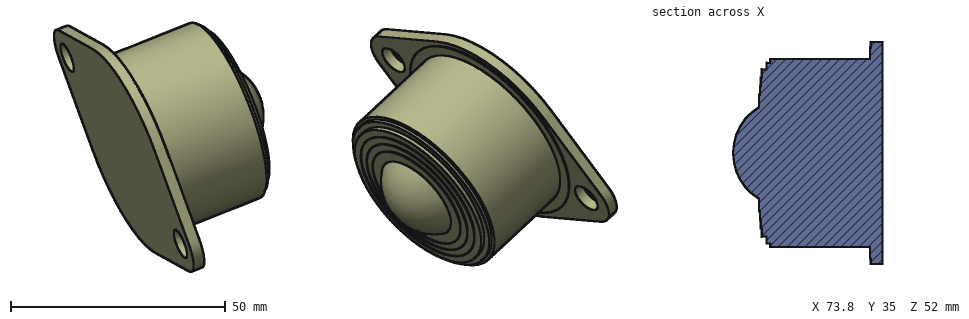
import cadquery as cq
import math

flange_length = 73.8
flange_width = 52.0
flange_thickness = 2.8
hole_diameter = 7.0
hole_spacing = 59.8

seat_diameter = 49.3
seat_height = 0.2

housing_diameter = 44.0
housing_top = 26.3
rim_diameter = 42.3
rim_top = 27.2

cover_diameter = 39.2
cover_first_top = 28.3
cover_step_width = 2.0
cover_step_height = 0.2
cover_step_count = 4

overall_height = 35.0
ball_diameter = 24.95


def disc(diameter, bottom, top):
    """Round disc on the Y axis, spanning bottom to top along Y."""
    plane = cq.Plane(origin=(0, bottom, 0), xDir=(1, 0, 0), normal=(0, 1, 0))
    return cq.Workplane(plane).circle(diameter / 2).extrude(top - bottom)


def make_flange():
    """Rhombic flange: a large central arc joined by tangent lines to two ears."""
    main_radius = flange_width / 2
    ear_center = hole_spacing / 2
    ear_radius = flange_length / 2 - ear_center

    normal_x = (main_radius - ear_radius) / ear_center
    normal_z = math.sqrt(1 - normal_x**2)
    main_x = main_radius * normal_x
    main_z = main_radius * normal_z
    ear_x = ear_center + ear_radius * normal_x
    ear_z = ear_radius * normal_z

    plate = (
        cq.Workplane("XZ")
        .moveTo(-main_x, main_z)
        .threePointArc((0, main_radius), (main_x, main_z))
        .lineTo(ear_x, ear_z)
        .threePointArc((flange_length / 2, 0), (ear_x, -ear_z))
        .lineTo(main_x, -main_z)
        .threePointArc((0, -main_radius), (-main_x, -main_z))
        .lineTo(-ear_x, -ear_z)
        .threePointArc((-flange_length / 2, 0), (-ear_x, ear_z))
        .close()
        .extrude(-flange_thickness)
    )
    holes = (
        cq.Workplane("XZ")
        .pushPoints([(-ear_center, 0), (ear_center, 0)])
        .circle(hole_diameter / 2)
        .extrude(-flange_thickness)
    )
    return plate.cut(holes)


def make_housing():
    """Seat, cylindrical housing and its narrower rim."""
    seat_top = flange_thickness + seat_height
    seat = disc(seat_diameter, flange_thickness, seat_top)
    barrel = disc(housing_diameter, seat_top, housing_top)
    rim = disc(rim_diameter, housing_top, rim_top)
    return seat.union(barrel).union(rim)


def make_cover():
    """Stack of shallow steps narrowing toward the ball."""
    cover = disc(cover_diameter, rim_top, cover_first_top)
    for step in range(1, cover_step_count):
        diameter = cover_diameter - 2 * step * cover_step_width
        top = cover_first_top + step * cover_step_height
        cover = cover.union(disc(diameter, top - cover_step_height, top))
    return cover


def make_ball():
    """Ball seated in the housing, its crown at the overall height."""
    radius = ball_diameter / 2
    return cq.Workplane("XY").sphere(radius).translate((0, overall_height - radius, 0))


result = make_flange().union(make_housing()).union(make_cover()).union(make_ball())